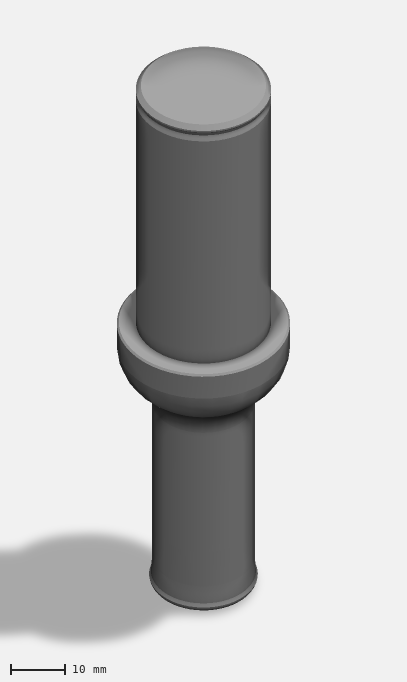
import cadquery as cq
import math

total_length = 117.0
shank_radius = 25.0 / 2
flange_radius = 32.0 / 2
neck_radius = 19.1 / 2

flange_top_z = 61.3
flange_chamfer = 0.4
bulge_start_z = 55.8
bulge_arc_radius = 9.1
neck_arc_radius = 7.6

shank_top_radius = 11.6
shank_chamfer_height = 0.8
rim_height = 0.4
rim_underside_radius = 12.3
rim_underside_height = 0.4
groove_floor_radius = 12.0
groove_upper_cone_height = 0.7
groove_lower_cone_height = 1.0

head_length = 14.4
flare_start_z = 6.3
flare_end_z = 2.5
flare_end_radius = 9.7
rim_radius = 20.1 / 2
rim_top_z = 1.8
rim_middle_radius = 10.0
rim_base_radius = 9.6
rim_base_z = 0.7
tip_flat_radius = 2.8


def make_holder():
    """Shank, flange and neck, revolved as one body."""
    bulge_center_r = flange_radius - bulge_arc_radius
    neck_center_r = neck_radius + neck_arc_radius
    turn = math.acos((neck_center_r - bulge_center_r) / (bulge_arc_radius + neck_arc_radius))
    junction_r = bulge_center_r + bulge_arc_radius * math.cos(turn)
    junction_z = bulge_start_z - bulge_arc_radius * math.sin(turn)
    neck_arc_end_z = junction_z - neck_arc_radius * math.sin(turn)

    half_turn = turn / 2
    bulge_middle = (
        bulge_center_r + bulge_arc_radius * math.cos(half_turn),
        bulge_start_z - bulge_arc_radius * math.sin(half_turn),
    )
    neck_arc_middle = (
        neck_center_r - neck_arc_radius * math.cos(half_turn),
        neck_arc_end_z + neck_arc_radius * math.sin(half_turn),
    )

    rim_upper_z = total_length - shank_chamfer_height
    rim_lower_z = rim_upper_z - rim_height
    groove_top_z = rim_lower_z - rim_underside_height
    groove_floor_top_z = groove_top_z - groove_upper_cone_height
    groove_bottom_z = groove_floor_top_z - groove_lower_cone_height
    profile = (
        cq.Workplane("XZ")
        .moveTo(0, head_length)
        .lineTo(0, total_length)
        .lineTo(shank_top_radius, total_length)
        .lineTo(shank_radius, rim_upper_z)
        .lineTo(shank_radius, rim_lower_z)
        .lineTo(rim_underside_radius, groove_top_z)
        .lineTo(groove_floor_radius, groove_floor_top_z)
        .lineTo(shank_radius, groove_bottom_z)
        .lineTo(shank_radius, flange_top_z)
        .lineTo(flange_radius - flange_chamfer, flange_top_z)
        .lineTo(flange_radius, flange_top_z - flange_chamfer)
        .lineTo(flange_radius, bulge_start_z)
        .threePointArc(bulge_middle, (junction_r, junction_z))
        .threePointArc(neck_arc_middle, (neck_radius, neck_arc_end_z))
        .lineTo(neck_radius, head_length)
        .close()
    )
    return profile.revolve(360, (0, 0), (0, 1))


def make_cutting_head():
    """Cylindrical head that flares to a rounded rim above a shallow conical tip."""
    profile = (
        cq.Workplane("XZ")
        .lineTo(0, head_length)
        .lineTo(neck_radius, head_length)
        .lineTo(neck_radius, flare_start_z)
        .tangentArcPoint((flare_end_radius, flare_end_z), relative=False)
        .lineTo(rim_radius, rim_top_z)
        .threePointArc((rim_middle_radius, (rim_top_z + rim_base_z) / 2), (rim_base_radius, rim_base_z))
        .lineTo(tip_flat_radius, 0)
        .close()
    )
    return profile.revolve(360, (0, 0), (0, 1))


holder = make_holder()
cutting_head = make_cutting_head()
result = cq.Compound.makeCompound([holder.val(), cutting_head.val()])